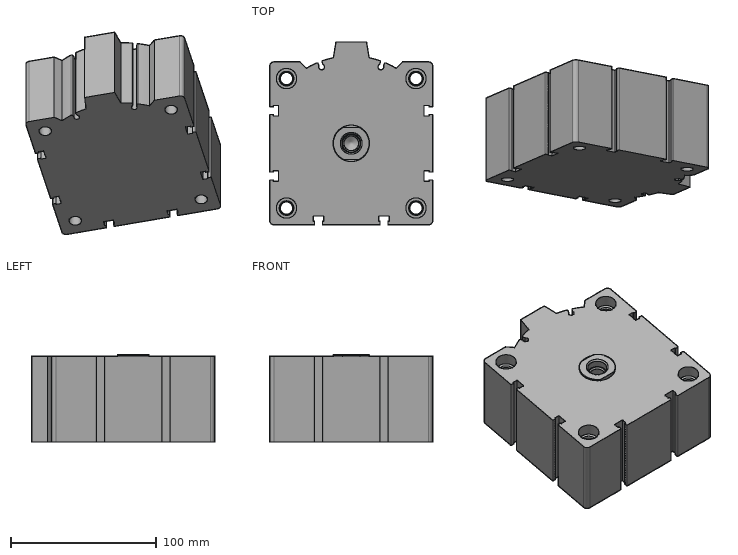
import cadquery as cq
import math

overall_length = 125.9
overall_height = 60.0

block_size = 112.2
block_height = 59.0
corner_radius = 3.0
half_block = block_size / 2
edge_tolerance = 0.1

tab_end_y = overall_length - half_block
tab_end_half_width = 10.6
tab_root_half_width = 12.3
rim_radius = 60.2
notch_half_span = 35.4

groove_diameter = 3.8
groove_mouth_width = 2.8
groove_axis_radius = 56.3
groove_angle = 21.2
groove_lip_radius = 0.9

slot_spacing = 45.0
slot_mouth_width = 5.3
slot_inner_width = 7.0
slot_lip_depth = 2.5
slot_depth = 6.0
slot_lip_radius = 0.5

mount_spacing = 89.0
mount_through_diameter = 8.4
mount_sink_diameter = 10.1
mount_counterbore_diameter = 14.0
mount_counterbore_depth = 8.8

rod_diameter = 25.0
rod_chamfer = 0.3
rod_length = 20.1
rod_top = overall_height
seat_floor_z = rod_top - rod_length
flats_width = 21.9
flats_length = 5.0

bore_rim_diameter = 15.0
bore_diameter = 13.0
bore_depth = 6.2
bore_step_diameter = 12.1
drill_diameter = 10.1
drill_depth = 12.6
drill_point_angle = 118.0


def rim_point(x):
    """Point of the rim arc at the given X."""
    return x, math.sqrt(rim_radius**2 - x**2)


def round_edges(body, radius, is_chosen):
    """Fillet the vertical edges whose X and Y satisfy the given test."""
    edges = body.edges("|Z").filter(lambda edge: is_chosen(edge.Center().x, edge.Center().y))
    return edges.fillet(radius)


def make_block():
    """Rounded square block with its tab, 45 degree notches and arc-shaped rim."""
    wall_offset = half_block - notch_half_span
    notch_foot_x = (math.sqrt(2 * rim_radius**2 - wall_offset**2) - wall_offset) / 2
    rim_middle_x = (notch_foot_x + tab_root_half_width) / 2
    block = (
        cq.Workplane("XY")
        .moveTo(-half_block, -half_block)
        .lineTo(half_block, -half_block)
        .lineTo(half_block, half_block)
        .lineTo(notch_half_span, half_block)
        .lineTo(*rim_point(notch_foot_x))
        .threePointArc(rim_point(rim_middle_x), rim_point(tab_root_half_width))
        .lineTo(tab_end_half_width, tab_end_y)
        .lineTo(-tab_end_half_width, tab_end_y)
        .lineTo(*rim_point(-tab_root_half_width))
        .threePointArc(rim_point(-rim_middle_x), rim_point(-notch_foot_x))
        .lineTo(-notch_half_span, half_block)
        .lineTo(-half_block, half_block)
        .close()
        .extrude(block_height)
    )

    def is_corner(x, y):
        return min(abs(x), abs(y)) > half_block - edge_tolerance

    return round_edges(block, corner_radius, is_corner)


def make_slot():
    """T-slot with rounded mouth lips, open at x = 0 and cut toward +X."""
    half_mouth = slot_mouth_width / 2
    half_flare = half_mouth + slot_lip_radius
    half_inner = slot_inner_width / 2
    bend = slot_lip_radius * (1 - math.sqrt(0.5))
    return (
        cq.Workplane("XY")
        .moveTo(0, -half_flare)
        .threePointArc((bend, -half_mouth - bend), (slot_lip_radius, -half_mouth))
        .lineTo(slot_lip_depth, -half_mouth)
        .lineTo(slot_lip_depth, -half_inner)
        .lineTo(slot_depth, -half_inner)
        .lineTo(slot_depth, half_inner)
        .lineTo(slot_lip_depth, half_inner)
        .lineTo(slot_lip_depth, half_mouth)
        .lineTo(slot_lip_radius, half_mouth)
        .threePointArc((bend, half_mouth + bend), (0, half_flare))
        .close()
        .extrude(block_height)
    )


def cut_slots(block):
    """Cut a pair of T-slots into the -X, -Y and +X sides."""
    slot = make_slot()
    for side_angle in (0, 90, 180):
        for offset in (-slot_spacing / 2, slot_spacing / 2):
            placed_slot = slot.translate((-half_block, offset, 0))
            block = block.cut(placed_slot.rotate((0, 0, 0), (0, 0, 1), side_angle))
    return block


def cut_sensor_grooves(block):
    """Cut the two round-bottomed grooves through the rim and round their lips."""
    neck_length = tab_end_y - groove_axis_radius
    bottom = (
        cq.Workplane("XY")
        .center(0, groove_axis_radius)
        .circle(groove_diameter / 2)
        .extrude(block_height)
    )
    neck = (
        cq.Workplane("XY")
        .center(0, groove_axis_radius + neck_length / 2)
        .rect(groove_mouth_width, neck_length)
        .extrude(block_height)
    )
    groove = bottom.union(neck)
    for angle in (-groove_angle, groove_angle):
        block = block.cut(groove.rotate((0, 0, 0), (0, 0, 1), angle))

    centre_direction = math.radians(groove_angle)

    def is_lip(x, y):
        from_centre_line = abs(abs(x) * math.cos(centre_direction) - y * math.sin(centre_direction))
        on_rim = abs(math.hypot(x, y) - rim_radius) < edge_tolerance
        return on_rim and abs(from_centre_line - groove_mouth_width / 2) < edge_tolerance

    return round_edges(block, groove_lip_radius, is_lip)


def cut_mount_holes(block):
    """Drill, countersink and counterbore the four corner holes."""
    sink_depth = (mount_sink_diameter - mount_through_diameter) / 2
    floor_z = block_height - mount_counterbore_depth
    hole = (
        cq.Workplane("XZ")
        .lineTo(mount_through_diameter / 2, 0)
        .lineTo(mount_through_diameter / 2, floor_z - sink_depth)
        .lineTo(mount_sink_diameter / 2, floor_z)
        .lineTo(mount_counterbore_diameter / 2, floor_z)
        .lineTo(mount_counterbore_diameter / 2, block_height)
        .lineTo(0, block_height)
        .close()
        .revolve(360, (0, 0), (0, 1))
    )
    for x in (-mount_spacing / 2, mount_spacing / 2):
        for y in (-mount_spacing / 2, mount_spacing / 2):
            block = block.cut(hole.translate((x, y, 0)))
    return block


def make_shaft(top_z):
    """Shaft of rod diameter from the bottom of the rod seat up to the given height."""
    return (
        cq.Workplane("XY", origin=(0, 0, seat_floor_z))
        .circle(rod_diameter / 2)
        .extrude(top_z - seat_floor_z)
    )


def make_housing():
    """Block with its slots, grooves, mounting holes and blind rod seat."""
    block = cut_slots(make_block())
    block = cut_sensor_grooves(block)
    block = cut_mount_holes(block)
    return block.cut(make_shaft(block_height))


def make_rod_blank():
    """Rod whose chamfered top end is narrowed by two parallel wrench flats facing -Y and +Y."""
    shank = make_shaft(rod_top - flats_length)
    flats = (
        cq.Workplane("XY", origin=(0, 0, rod_top - flats_length))
        .rect(rod_diameter, flats_width)
        .extrude(flats_length)
    )
    return shank.union(flats.intersect(make_shaft(rod_top).faces(">Z").chamfer(rod_chamfer)))


def cut_rod_bore(rod):
    """Cut the chamfered, stepped blind hole with a conical tip into the rod end."""
    rim_depth = (bore_rim_diameter - bore_diameter) / 2
    taper_depth = (bore_step_diameter - drill_diameter) / 2
    tip_depth = drill_diameter / 2 / math.tan(math.radians(drill_point_angle / 2))
    bore = (
        cq.Workplane("XZ", origin=(0, 0, rod_top))
        .lineTo(bore_rim_diameter / 2, 0)
        .lineTo(bore_diameter / 2, -rim_depth)
        .lineTo(bore_diameter / 2, -bore_depth)
        .lineTo(bore_step_diameter / 2, -bore_depth)
        .lineTo(drill_diameter / 2, -bore_depth - taper_depth)
        .lineTo(drill_diameter / 2, -drill_depth)
        .lineTo(0, -drill_depth - tip_depth)
        .close()
        .revolve(360, (0, 0), (0, 1))
    )
    return rod.cut(bore)


def make_rod():
    """Rod with its flats and stepped blind hole."""
    return cut_rod_bore(make_rod_blank())


housing = make_housing()
rod = make_rod()

result = cq.Compound.makeCompound([housing.val(), rod.val()])